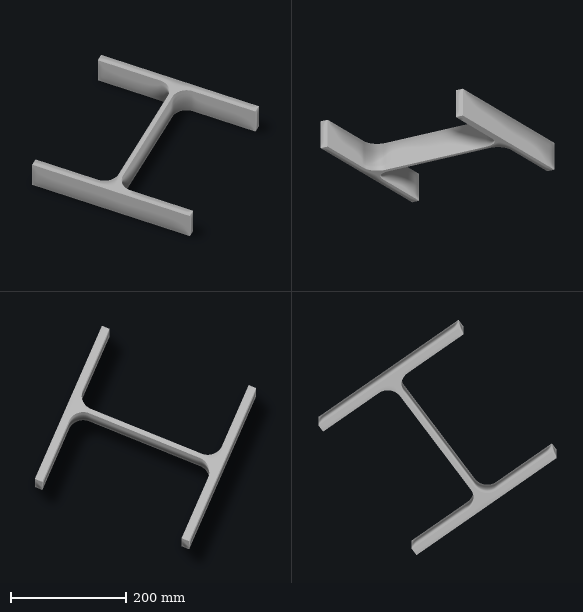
import cadquery as cq

flange_width = 300.0
section_depth = 290.0
beam_length = 50.0
flange_thickness = 14.0
web_thickness = 8.5
root_radius = 27.0

web_depth = section_depth - 2 * flange_thickness
flange_offset = (section_depth - flange_thickness) / 2


def plate(width, depth, center_y=0.0):
    """Rectangular plate centred on X and Z."""
    return cq.Workplane("XY").box(width, depth, beam_length).translate((0, center_y, 0))


web = plate(web_thickness, web_depth)
beam = web
for side in (-1, 1):
    beam = beam.union(plate(flange_width, flange_thickness, side * flange_offset))

root_corners = cq.selectors.BoxSelector(
    (-web_thickness, -section_depth / 2 + flange_thickness / 2, -beam_length),
    (web_thickness, section_depth / 2 - flange_thickness / 2, beam_length),
)
result = beam.edges("|Z").edges(root_corners).fillet(root_radius)